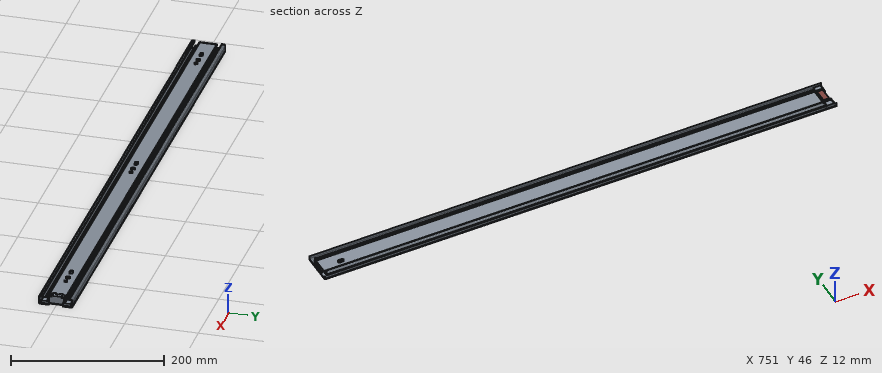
import cadquery as cq
import math

LENGTH = 751.0
WIDTH = 46.0
HEIGHT = 12.0

SHEET = 1.05
OUTER_SHEET = 1.2
FIT = 0.15
FLOOR_Z = -HEIGHT / 2 + OUTER_SHEET

OUTER_RADIUS = 2.0
LIP_OPENING = 37.0
END_NOTCH_WIDTH = 19.0
END_NOTCH_DEPTH = 4.0

MIDDLE_START = 5.0
MIDDLE_END = 738.5
MIDDLE_BASE_Z = FLOOR_Z + FIT
MIDDLE_FOOT_Y = 18.0
MIDDLE_BEND = 1.9
MIDDLE_WEB_Y = MIDDLE_FOOT_Y - MIDDLE_BEND
MIDDLE_TRACK_Y = 16.5
MIDDLE_TIP_Y = 16.0
MIDDLE_TIP_Z = 2.0

INNER_START = 1.0
INNER_END = 747.5
INNER_TOP_Z = 5.6
INNER_WIDTH = 25.0
INNER_WALL_Y = INNER_WIDTH / 2
INNER_TRACK_DEPTH = 1.1
INNER_TIP_Z = -1.0
INNER_BEND = 1.5
TAB_BOTTOM_Z = -3.0

STOP_END = 750.0
STOP_WIDTH = 40.0
STOP_BASE_TOP_Z = -1.5
BUFFER_WIDTH = 19.5
HOOK_WIDTH = 13.0
HOOK_TOP_Z = HEIGHT / 2
HOOK_SLOT_WIDTH = 5.0
HOOK_SLOT_DEPTH = 2.0
HOOK_START = MIDDLE_END

FIRST_STATION_X = 50.0
STATION_PITCH = 320.0
STATION_COUNT = 3
MAIN_HOLE = 5.5
SMALL_HOLE = 4.2
SMALL_HOLE_OFFSET = 10.5
SLOT_WIDTH = 4.2
SLOT_LENGTH = 8.0
SLOT_OFFSET = -16.0

DIAGONAL = math.sqrt(0.5)


def block(x_start, x_end, width, z_low, z_high):
    """Box centred on Y = 0, placed by its end positions along X and Z."""
    x_size = x_end - x_start
    z_size = z_high - z_low
    return cq.Workplane("XY").box(x_size, width, z_size).translate(
        ((x_start + x_end) / 2, 0, (z_low + z_high) / 2)
    )


def mirrored_rail(half_profile, x_start, x_end):
    """Extrude an open half profile (ends on Y = 0) along X, with its mirror image."""
    return half_profile.mirrorY().extrude(x_end - x_start).translate((x_start, 0, 0))


def group_spots(offset):
    """Centres of the holes that lie at this X offset from the stations."""
    return [(FIRST_STATION_X + i * STATION_PITCH + offset, 0) for i in range(STATION_COUNT)]


def round_cutters(spots, diameter):
    return cq.Workplane("XY").pushPoints(spots).circle(diameter / 2).extrude(HEIGHT, both=True)


def slot_cutters(spots):
    return cq.Workplane("XY").pushPoints(spots).slot2D(SLOT_LENGTH, SLOT_WIDTH).extrude(HEIGHT, both=True)


def first_slot_cutter():
    """The slot of the first station, which passes through all three rails."""
    return slot_cutters(group_spots(SLOT_OFFSET)[:1])


def make_outer_rail():
    side_y = WIDTH / 2
    top_z = HEIGHT / 2
    lip_y = LIP_OPENING / 2
    bend_y = side_y - OUTER_RADIUS
    bend_z = top_z - OUTER_RADIUS
    outer_mid = OUTER_RADIUS * DIAGONAL
    inside_radius = OUTER_RADIUS - OUTER_SHEET
    inside_mid = inside_radius * DIAGONAL
    inside_y = side_y - OUTER_SHEET
    profile = (
        cq.Workplane("YZ")
        .moveTo(0, -top_z)
        .lineTo(bend_y, -top_z)
        .threePointArc((bend_y + outer_mid, -bend_z - outer_mid), (side_y, -bend_z))
        .lineTo(side_y, bend_z)
        .threePointArc((bend_y + outer_mid, bend_z + outer_mid), (bend_y, top_z))
        .lineTo(lip_y, top_z)
        .lineTo(lip_y, -FLOOR_Z)
        .lineTo(bend_y, -FLOOR_Z)
        .threePointArc((bend_y + inside_mid, bend_z + inside_mid), (inside_y, bend_z))
        .lineTo(inside_y, -bend_z)
        .threePointArc((bend_y + inside_mid, -bend_z - inside_mid), (bend_y, FLOOR_Z))
        .lineTo(0, FLOOR_Z)
    )
    rail = mirrored_rail(profile, 0, LENGTH)
    end_notch = block(LENGTH - END_NOTCH_DEPTH, LENGTH, END_NOTCH_WIDTH, -top_z, 0)
    return rail.cut(end_notch).cut(first_slot_cutter())


def make_middle_rail():
    web_top_z = MIDDLE_BASE_Z + SHEET
    foot_z = MIDDLE_BASE_Z + MIDDLE_BEND
    track_z = (foot_z + MIDDLE_TIP_Z) / 2
    inner_bend = MIDDLE_BEND - SHEET
    profile = (
        cq.Workplane("YZ")
        .moveTo(0, MIDDLE_BASE_Z)
        .lineTo(MIDDLE_WEB_Y, MIDDLE_BASE_Z)
        .threePointArc(
            (MIDDLE_WEB_Y + MIDDLE_BEND * DIAGONAL, foot_z - MIDDLE_BEND * DIAGONAL),
            (MIDDLE_FOOT_Y, foot_z),
        )
        .threePointArc((MIDDLE_TRACK_Y, track_z), (MIDDLE_TIP_Y, MIDDLE_TIP_Z))
        .lineTo(MIDDLE_TIP_Y - SHEET, MIDDLE_TIP_Z)
        .threePointArc((MIDDLE_TRACK_Y - SHEET, track_z), (MIDDLE_FOOT_Y - SHEET, foot_z))
        .threePointArc(
            (MIDDLE_WEB_Y + inner_bend * DIAGONAL, foot_z - inner_bend * DIAGONAL),
            (MIDDLE_WEB_Y, web_top_z),
        )
        .lineTo(0, web_top_z)
    )
    return mirrored_rail(profile, MIDDLE_START, MIDDLE_END).cut(first_slot_cutter())


def make_hook():
    """Head of the end stop that passes up through the inner rail's web."""
    head = block(HOOK_START, INNER_END, HOOK_WIDTH, INNER_TOP_Z - SHEET, HOOK_TOP_Z)
    slot = block(HOOK_START, HOOK_START + HOOK_SLOT_DEPTH, HOOK_SLOT_WIDTH, 0, HOOK_TOP_Z)
    return head.cut(slot)


def make_end_tab(width):
    """Tab that closes the leading end, joined to the web by a quarter-round corner."""
    inside_x = INNER_START + SHEET
    tangent_z = INNER_TOP_Z - SHEET
    return (
        cq.Workplane("XZ")
        .moveTo(INNER_START, TAB_BOTTOM_Z)
        .lineTo(INNER_START, tangent_z)
        .threePointArc(
            (inside_x - SHEET * DIAGONAL, tangent_z + SHEET * DIAGONAL), (inside_x, INNER_TOP_Z)
        )
        .lineTo(inside_x, TAB_BOTTOM_Z)
        .close()
        .extrude(width / 2, both=True)
    )


def make_inner_rail():
    underside_z = INNER_TOP_Z - SHEET
    bend_y = INNER_WALL_Y - INNER_BEND
    bend_z = INNER_TOP_Z - INNER_BEND
    inside_bend = INNER_BEND - SHEET
    inside_wall_y = INNER_WALL_Y - SHEET
    track_z = (bend_z + INNER_TIP_Z) / 2
    profile = (
        cq.Workplane("YZ")
        .moveTo(0, INNER_TOP_Z)
        .lineTo(bend_y, INNER_TOP_Z)
        .threePointArc(
            (bend_y + INNER_BEND * DIAGONAL, bend_z + INNER_BEND * DIAGONAL), (INNER_WALL_Y, bend_z)
        )
        .threePointArc((INNER_WALL_Y - INNER_TRACK_DEPTH, track_z), (INNER_WALL_Y, INNER_TIP_Z))
        .lineTo(inside_wall_y, INNER_TIP_Z)
        .threePointArc((inside_wall_y - INNER_TRACK_DEPTH, track_z), (inside_wall_y, bend_z))
        .threePointArc(
            (bend_y + inside_bend * DIAGONAL, bend_z + inside_bend * DIAGONAL), (bend_y, underside_z)
        )
        .lineTo(0, underside_z)
    )
    rail = mirrored_rail(profile, INNER_START + SHEET, INNER_END)
    rail = rail.union(make_end_tab(2 * bend_y)).cut(make_hook())
    main_holes = round_cutters(group_spots(0), MAIN_HOLE)
    small_holes = round_cutters(group_spots(SMALL_HOLE_OFFSET), SMALL_HOLE)
    slots = slot_cutters(group_spots(SLOT_OFFSET))
    return rail.cut(main_holes).cut(small_holes).cut(slots)


def make_end_stop():
    base = block(MIDDLE_END, STOP_END, STOP_WIDTH, FLOOR_Z, STOP_BASE_TOP_Z)
    base = base.cut(block(INNER_END, STOP_END, END_NOTCH_WIDTH, FLOOR_Z, STOP_BASE_TOP_Z))
    buffer = block(MIDDLE_END, INNER_END, BUFFER_WIDTH, STOP_BASE_TOP_Z, INNER_TOP_Z - SHEET)
    return base.union(buffer).union(make_hook())


outer_rail = make_outer_rail()
middle_rail = make_middle_rail()
inner_rail = make_inner_rail()
end_stop = make_end_stop()

result = cq.Compound.makeCompound(
    [outer_rail.val(), middle_rail.val(), inner_rail.val(), end_stop.val()]
)